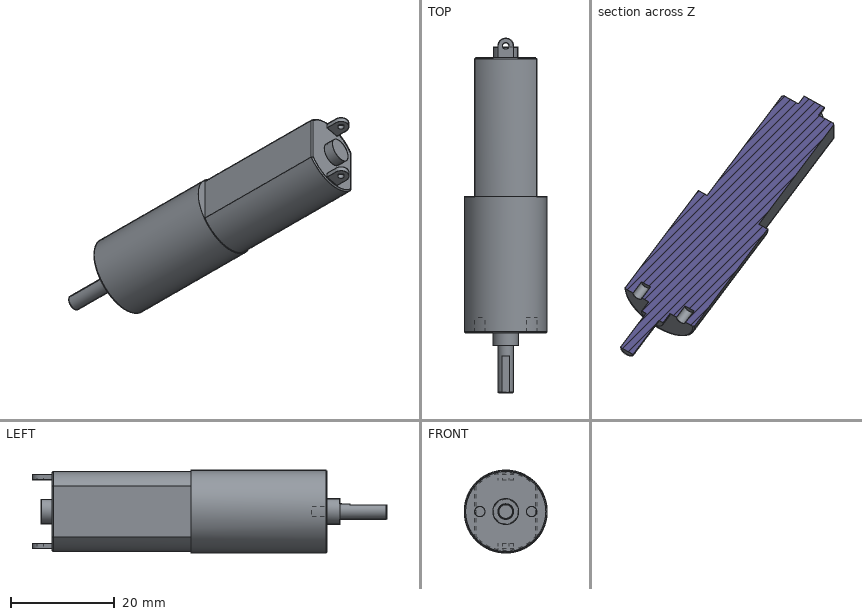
import cadquery as cq

total_length = 68.3
gearbox_length = 26.2
collar_length = 2.45
shaft_length = 9.1
terminal_length = 3.75
rear_boss_length = 2.05
motor_length = total_length - gearbox_length - collar_length - shaft_length - terminal_length
motor_rear = gearbox_length + motor_length

gearbox_diameter = 16.0
motor_diameter = 15.5
motor_width = 11.95
collar_diameter = 5.0
shaft_diameter = 3.0
rear_boss_diameter = 4.7
body_chamfer = 0.3
shaft_chamfer = 0.17

flat_depth = 0.2
flat_setback = 2.0

mount_hole_diameter = 2.0
mount_hole_offset = 5.0
mount_hole_depth = 3.0

terminal_width = 3.0
terminal_thickness = 1.0
terminal_offset = 6.6
terminal_hole_diameter = 1.2


def cylinder_along_y(diameter, y_start, length, x=0):
    """Cylinder parallel to Y, running from y_start towards +Y."""
    plane = cq.Plane(origin=(x, y_start, 0), xDir=(1, 0, 0), normal=(0, 1, 0))
    return cq.Workplane(plane).circle(diameter / 2).extrude(length)


def make_gearbox():
    body = cylinder_along_y(gearbox_diameter, 0, gearbox_length)
    body = body.faces("<Y").chamfer(body_chamfer)
    for x in (-mount_hole_offset, mount_hole_offset):
        body = body.cut(cylinder_along_y(mount_hole_diameter, 0, mount_hole_depth, x))
    return body


def make_motor():
    can = cylinder_along_y(motor_diameter, gearbox_length, motor_length)
    side_limits = cq.Workplane("XY").box(motor_width, 2 * total_length, 2 * motor_diameter)
    can = can.intersect(side_limits)
    return can.faces(">Y").chamfer(body_chamfer)


def make_shaft():
    shaft_tip = -collar_length - shaft_length
    shaft = cylinder_along_y(shaft_diameter, shaft_tip, shaft_length)
    shaft = shaft.faces("<Y").chamfer(shaft_chamfer)
    flat_cutter = cq.Workplane("XY").box(
        shaft_diameter, shaft_length - flat_setback, shaft_diameter, centered=(True, False, False)
    )
    return shaft.cut(flat_cutter.translate((0, shaft_tip, shaft_diameter / 2 - flat_depth)))


def make_terminal(z_middle):
    """Round-ended tab with a hole concentric to its end."""
    radius = terminal_width / 2
    straight_length = terminal_length - radius
    return (
        cq.Workplane("XY", origin=(0, motor_rear, z_middle - terminal_thickness / 2))
        .moveTo(-radius, 0)
        .lineTo(radius, 0)
        .lineTo(radius, straight_length)
        .threePointArc((0, terminal_length), (-radius, straight_length))
        .close()
        .moveTo(0, straight_length)
        .circle(terminal_hole_diameter / 2)
        .extrude(terminal_thickness)
    )


collar = cylinder_along_y(collar_diameter, -collar_length, collar_length)
rear_boss = cylinder_along_y(rear_boss_diameter, motor_rear, rear_boss_length)

result = make_gearbox().union(make_motor()).union(collar).union(make_shaft()).union(rear_boss)
for z in (-terminal_offset, terminal_offset):
    result = result.union(make_terminal(z))